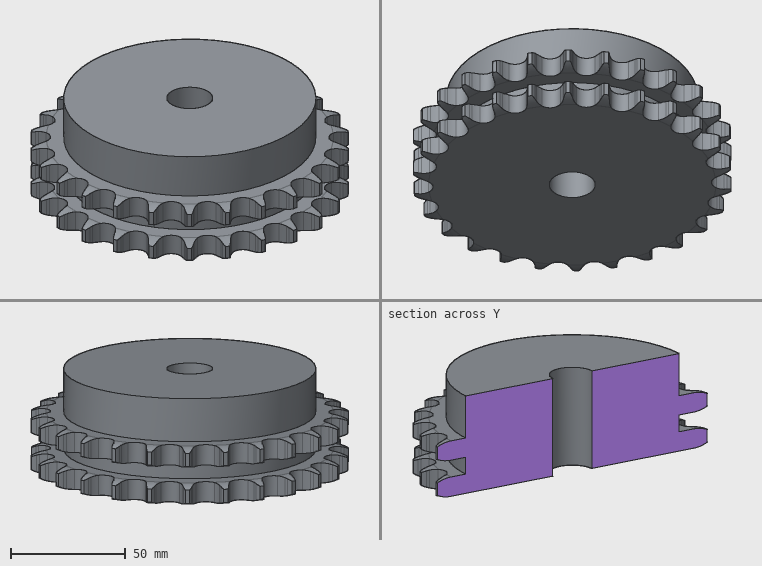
import cadquery as cq
import math


chain_pitch = 15.875
roller_diameter = 10.16
strand_spacing = 16.59
strand_count = 2

tooth_count = 26
outside_radius = 139.0 / 2
tooth_width = 9.1
hub_radius = 110.0 / 2
bore_radius = 20.0 / 2
total_height = 45.0

side_rounding_radius = 16.0
side_rounding_depth = 1.6
side_rounding_reach = math.sqrt(side_rounding_radius**2 - (side_rounding_radius - side_rounding_depth) ** 2)

pitch_angle = 360.0 / tooth_count
pitch_radius = chain_pitch / 2 / math.sin(math.radians(pitch_angle / 2))
seating_clearance = 0.038
seating_radius = 1.005 * roller_diameter / 2 + seating_clearance
seating_end_angle = 35.0 + 60.0 / tooth_count
working_arc_angle = 18.0 - 56.0 / tooth_count
working_centre_offset = 0.8 * roller_diameter
working_radius = working_centre_offset + seating_radius
topping_centre_offset = 1.4 * roller_diameter
cut_overshoot = 0.5


def polar(centre, radius, angle):
    """Point at a distance and an angle in degrees from a centre."""
    return (
        centre[0] + radius * math.cos(math.radians(angle)),
        centre[1] + radius * math.sin(math.radians(angle)),
    )


def mirrored(point):
    """Mirror image of a point across the Y axis."""
    return (-point[0], point[1])


def make_gap_cutter():
    """Tooth gap centred on +Y: seating arc, then working arc, straight and topping arc on each side."""
    roller_centre = (0.0, pitch_radius)
    gap_bottom = polar(roller_centre, seating_radius, -90)
    seating_mid = polar(roller_centre, seating_radius, -(90 + seating_end_angle) / 2)
    seating_end = polar(roller_centre, seating_radius, -seating_end_angle)

    working_centre = polar(roller_centre, working_centre_offset, 180 - seating_end_angle)
    flank_normal = working_arc_angle - seating_end_angle
    working_mid = polar(working_centre, working_radius, flank_normal - working_arc_angle / 2)
    working_end = polar(working_centre, working_radius, flank_normal)

    topping_centre = polar(roller_centre, topping_centre_offset, -pitch_angle / 2)
    centre_x = topping_centre[0] - working_end[0]
    centre_y = topping_centre[1] - working_end[1]
    normal = math.radians(flank_normal)
    topping_radius = centre_x * math.cos(normal) + centre_y * math.sin(normal)
    topping_start = polar(topping_centre, topping_radius, 180 + flank_normal)
    top_height = outside_radius + cut_overshoot
    topping_end_angle = 180 - math.degrees(math.asin((top_height - topping_centre[1]) / topping_radius))
    topping_mid = polar(topping_centre, topping_radius, (180 + flank_normal + topping_end_angle) / 2)
    topping_end = polar(topping_centre, topping_radius, topping_end_angle)

    return (
        cq.Workplane("XY")
        .moveTo(*gap_bottom)
        .threePointArc(seating_mid, seating_end)
        .threePointArc(working_mid, working_end)
        .lineTo(*topping_start)
        .threePointArc(topping_mid, topping_end)
        .lineTo(*mirrored(topping_end))
        .threePointArc(mirrored(topping_mid), mirrored(topping_start))
        .lineTo(*mirrored(working_end))
        .threePointArc(mirrored(working_mid), mirrored(seating_end))
        .threePointArc(mirrored(seating_mid), gap_bottom)
        .close()
        .extrude(tooth_width)
    )


def make_rounded_disc():
    """Blank of one toothed disc, from Z = 0 up, with both rim edges rounded."""
    flat_radius = outside_radius - side_rounding_reach
    half_sweep = math.degrees(math.asin(side_rounding_reach / side_rounding_radius)) / 2
    lower_centre = (flat_radius, side_rounding_radius)
    upper_centre = (flat_radius, tooth_width - side_rounding_radius)
    return (
        cq.Workplane("XZ")
        .lineTo(flat_radius, 0)
        .threePointArc(
            polar(lower_centre, side_rounding_radius, half_sweep - 90),
            (outside_radius, side_rounding_depth),
        )
        .lineTo(outside_radius, tooth_width - side_rounding_depth)
        .threePointArc(
            polar(upper_centre, side_rounding_radius, 90 - half_sweep),
            (flat_radius, tooth_width),
        )
        .lineTo(0, tooth_width)
        .close()
        .revolve(360, (0, 0, 0), (0, 1, 0))
    )


def make_toothed_disc():
    """Rounded disc with every tooth gap cut through it; one gap is centred on +Y."""
    disc = make_rounded_disc()
    gap_cutter = make_gap_cutter()
    for index in range(tooth_count):
        disc = disc.cut(gap_cutter.rotate((0, 0, 0), (0, 0, 1), index * pitch_angle))
    return disc


def make_sprocket():
    """Hub cylinder carrying the toothed discs, bored through."""
    body = cq.Workplane("XY").circle(hub_radius).extrude(total_height)
    toothed_disc = make_toothed_disc()
    for strand in range(strand_count):
        body = body.union(toothed_disc.translate((0, 0, strand * strand_spacing)))
    bore = cq.Workplane("XY").circle(bore_radius).extrude(total_height)
    return body.cut(bore)


result = make_sprocket()